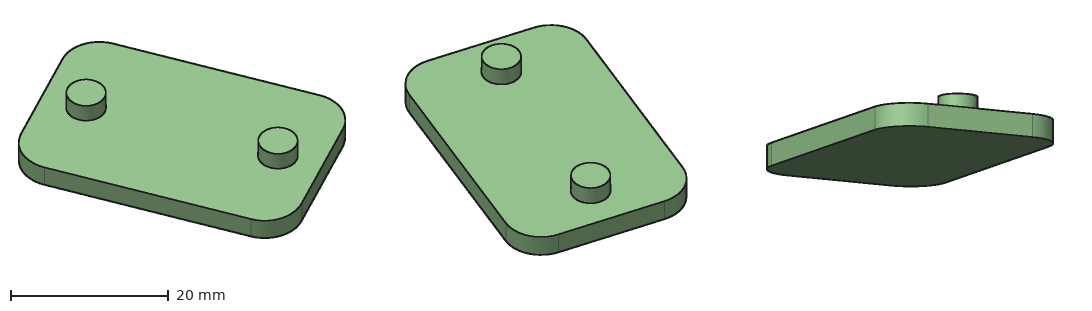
import cadquery as cq
import math

plate_length = 38.0
plate_width = 25.0
plate_thickness = 3.0
corner_radius = 5.0

peg_top_radius = 2.5
peg_height = 2.5
peg_draft_angle = 1.0
peg_foot_radius = peg_top_radius + peg_height * math.tan(math.radians(peg_draft_angle))
peg_spacing = 26.0


def make_plate():
    """Rectangular plate with rounded vertical corners, resting on Z = 0."""
    return (
        cq.Workplane("XY")
        .box(plate_length, plate_width, plate_thickness, centered=(True, True, False))
        .edges("|Z")
        .fillet(corner_radius)
    )


def make_pegs():
    """Two drafted round pegs on top of the plate, evenly spaced about its centre along X."""
    return (
        cq.Workplane("XY")
        .workplane(offset=plate_thickness)
        .pushPoints([(-peg_spacing / 2, 0), (peg_spacing / 2, 0)])
        .circle(peg_foot_radius)
        .extrude(peg_height, taper=peg_draft_angle)
    )


result = make_plate().union(make_pegs())